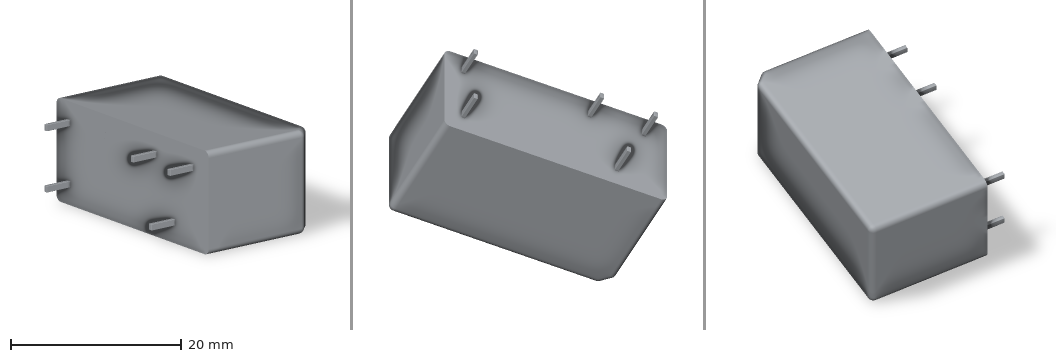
import cadquery as cq

body_width = 29.0
body_depth = 15.7
body_height = 12.7
corner_chamfer = 1.5
edge_radius = 0.75

pin_width = 0.52
pin_thickness = 0.78
pin_length = 3.5
pin_edge_radius = 0.05
row_spacing = 7.5
pin_pitch = 3.5
coil_x = -12.1
contact_x = 7.9

upper_row = row_spacing / 2
lower_row = -row_spacing / 2
pin_positions = [
    (coil_x, upper_row),
    (coil_x, lower_row),
    (contact_x - pin_pitch, upper_row),
    (contact_x, lower_row),
    (contact_x + pin_pitch, upper_row),
]


def make_housing():
    """Block with one cut corner, rounded on every edge except around the pin face."""
    block = cq.Workplane("XY").box(
        body_width, body_depth, body_height, centered=(True, False, True)
    )
    block = block.edges("|Z and >X and >Y").chamfer(corner_chamfer)
    pin_face_edges = cq.selectors.StringSyntaxSelector("<Y")
    return block.edges(cq.selectors.InverseSelector(pin_face_edges)).fillet(edge_radius)


def make_pin(x, z):
    """One pin centred at (x, z), running from the pin face toward -Y."""
    return (
        cq.Workplane("XY")
        .box(pin_width, pin_length, pin_thickness)
        .edges("not >Y")
        .fillet(pin_edge_radius)
        .translate((x, -pin_length / 2, z))
    )


result = make_housing()
for pin_x, pin_z in pin_positions:
    result = result.union(make_pin(pin_x, pin_z))